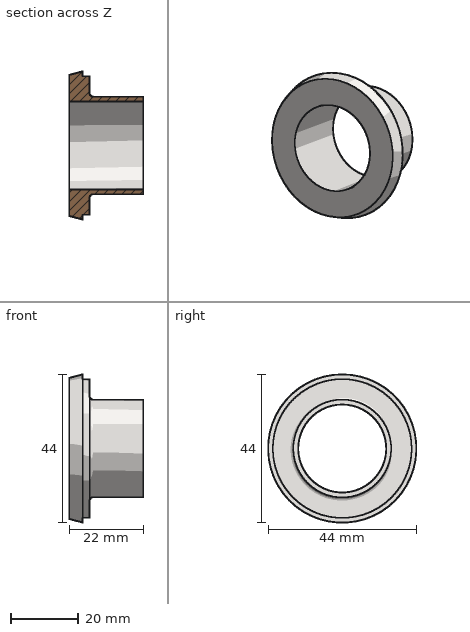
import cadquery as cq
import math

total_length = 22.0
rim_diameter = 44.0
rim_width = 4.0
rim_taper_angle = 15.0
shoulder_diameter = 41.15
shoulder_width = 2.1
tube_diameter = 29.0
bore_diameter = 26.0
root_fillet_radius = 1.0

rim_radius = rim_diameter / 2
face_radius = rim_radius - rim_width * math.tan(math.radians(rim_taper_angle))
shoulder_radius = shoulder_diameter / 2
shoulder_end = rim_width + shoulder_width
tube_radius = tube_diameter / 2
bore_radius = bore_diameter / 2


def flanged_sleeve():
    """Revolve the half section: tapered rim, shoulder, filleted root and tube around a through bore."""
    fillet_start = (shoulder_end, tube_radius + root_fillet_radius)
    fillet_end = (shoulder_end + root_fillet_radius, tube_radius)
    section = (
        cq.Workplane("XZ")
        .moveTo(0, bore_radius)
        .lineTo(0, face_radius)
        .lineTo(rim_width, rim_radius)
        .lineTo(rim_width, shoulder_radius)
        .lineTo(shoulder_end, shoulder_radius)
        .lineTo(*fillet_start)
        .radiusArc(fillet_end, -root_fillet_radius)
        .lineTo(total_length, tube_radius)
        .lineTo(total_length, bore_radius)
        .close()
    )
    return section.revolve(360, (0, 0, 0), (1, 0, 0))


result = flanged_sleeve()